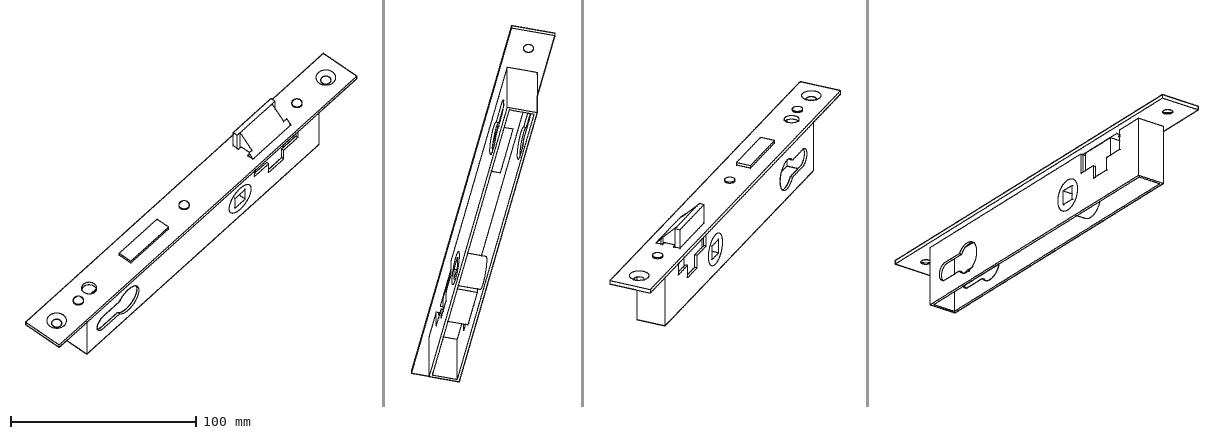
import cadquery as cq


PLATE_LENGTH = 245.0
PLATE_WIDTH = 24.0
PLATE_THICKNESS = 2.2
PLATE_UNDERSIDE = -PLATE_THICKNESS

SCREW_Y = 110.7
SCREW_HOLE_DIAMETER = 5.5
COUNTERSINK_DIAMETER = 10.5

RIVET_DIAMETER = 5.6
RIVET_HEIGHT = 0.7
RIVET_YS = (87.0, -6.0, -92.9)

ADJUSTER_HOLE_DIAMETER = 8.0
ADJUSTER_HOLE_X = -1.5
ADJUSTER_HOLE_Y = -82.3

CASE_LENGTH = 191.0
CASE_WIDTH = 16.7
CASE_DEPTH = 34.5
WALL = 1.5
CAVITY_WIDTH = CASE_WIDTH - 2 * WALL

BOLT_LENGTH = 31.0
LATCH_WIDTH = 14.2
LATCH_HEIGHT = 11.3
LATCH_FLAT = LATCH_WIDTH - LATCH_HEIGHT
LATCH_MIN_Y = 42.6
LATCH_MAX_Y = LATCH_MIN_Y + BOLT_LENGTH
GROOVE_WIDTH = 2 * (LATCH_WIDTH / 2 - LATCH_FLAT)
GROOVE_DEPTH = 2.5
TAB_WIDTH = 6.5
TAB_LENGTH = 2.2
TAIL_WIDTH = CAVITY_WIDTH
TAIL_MIN_Y = 44.8
TAIL_MAX_Y = 67.9

WINDOW_MIN_Y = LATCH_MIN_Y
WINDOW_MAX_Y = 78.2
WINDOW_DEPTH = 11.8
NOTCH_MIN_Y = 54.1
NOTCH_MAX_Y = 66.5
NOTCH_DEPTH = 19.4
TAIL_DEPTH = NOTCH_DEPTH

DEADBOLT_WIDTH = 8.3
DEADBOLT_HEIGHT = 1.5
DEADBOLT_Y = -39.0

SPINDLE_DEPTH = 19.8
SPINDLE_Z = PLATE_UNDERSIDE - SPINDLE_DEPTH
FOLLOWER_Y = 30.6
FOLLOWER_DIAMETER = 18.1
SPINDLE_SQUARE = 8.3
CYLINDER_Y = -61.5
CYLINDER_DIAMETER = 17.6
CYLINDER_SLOT_WIDTH = 10.5
CYLINDER_SLOT_END_Y = -87.0


def block(width, min_y, max_y, bottom, top):
    """Box centred on X = 0 between the given Y and Z limits."""
    return (
        cq.Workplane("XY", origin=(0, (min_y + max_y) / 2, bottom))
        .rect(width, max_y - min_y)
        .extrude(top - bottom)
    )


def cross_cylinder(diameter, y):
    """Cylinder along X at spindle height, as long as the case is wide."""
    return (
        cq.Workplane("YZ", origin=(0, y, SPINDLE_Z))
        .circle(diameter / 2)
        .extrude(CASE_WIDTH / 2, both=True)
    )


def end_strips(width, depth, bottom, top):
    """Two blocks reaching inward from the Y ends of the latch."""
    near_strip = block(width, LATCH_MIN_Y, LATCH_MIN_Y + depth, bottom, top)
    far_strip = block(width, LATCH_MAX_Y - depth, LATCH_MAX_Y, bottom, top)
    return near_strip.union(far_strip)


def latch_opening():
    """Faceplate opening with a guide tab at each end."""
    opening = block(LATCH_WIDTH, LATCH_MIN_Y, LATCH_MAX_Y, PLATE_UNDERSIDE, 0)
    return opening.cut(end_strips(TAB_WIDTH, TAB_LENGTH, PLATE_UNDERSIDE, 0))


def make_faceplate():
    plate = block(PLATE_WIDTH, -PLATE_LENGTH / 2, PLATE_LENGTH / 2, PLATE_UNDERSIDE, 0)
    for y in (-SCREW_Y, SCREW_Y):
        countersink = (
            cq.Workplane("XY", origin=(0, y, PLATE_UNDERSIDE))
            .circle(SCREW_HOLE_DIAMETER / 2)
            .workplane(offset=PLATE_THICKNESS)
            .circle(COUNTERSINK_DIAMETER / 2)
            .loft()
        )
        plate = plate.cut(countersink)
    for y in RIVET_YS:
        rivet = cq.Workplane("XY", origin=(0, y, 0)).circle(RIVET_DIAMETER / 2).extrude(RIVET_HEIGHT)
        plate = plate.union(rivet)
    adjuster_hole = (
        cq.Workplane("XY", origin=(ADJUSTER_HOLE_X, ADJUSTER_HOLE_Y, PLATE_UNDERSIDE))
        .circle(ADJUSTER_HOLE_DIAMETER / 2)
        .extrude(PLATE_THICKNESS)
    )
    return plate.cut(adjuster_hole).cut(latch_opening()).cut(deadbolt_block())


def cylinder_opening():
    """Keyhole shape through both walls: a round bore with a round-ended slot."""
    slot_radius = CYLINDER_SLOT_WIDTH / 2
    slot_center_y = CYLINDER_SLOT_END_Y + slot_radius
    slot = (
        cq.Workplane("YZ", origin=(0, 0, SPINDLE_Z))
        .moveTo(CYLINDER_Y, slot_radius)
        .lineTo(slot_center_y, slot_radius)
        .threePointArc((CYLINDER_SLOT_END_Y, 0), (slot_center_y, -slot_radius))
        .lineTo(CYLINDER_Y, -slot_radius)
        .close()
        .extrude(CASE_WIDTH / 2, both=True)
    )
    return cross_cylinder(CYLINDER_DIAMETER, CYLINDER_Y).union(slot)


def make_case():
    case_bottom = PLATE_UNDERSIDE - CASE_DEPTH
    end_y = CASE_LENGTH / 2
    case = block(CASE_WIDTH, -end_y, end_y, case_bottom, PLATE_UNDERSIDE)
    cavity = block(CAVITY_WIDTH, -end_y + WALL, end_y - WALL, case_bottom, PLATE_UNDERSIDE)
    window_bottom = PLATE_UNDERSIDE - WINDOW_DEPTH
    notch_bottom = PLATE_UNDERSIDE - NOTCH_DEPTH
    window = block(CASE_WIDTH, WINDOW_MIN_Y, WINDOW_MAX_Y, window_bottom, PLATE_UNDERSIDE)
    notch = block(CASE_WIDTH, NOTCH_MIN_Y, NOTCH_MAX_Y, notch_bottom, PLATE_UNDERSIDE)
    case = case.cut(cavity).cut(window).cut(notch)
    return case.cut(cross_cylinder(FOLLOWER_DIAMETER, FOLLOWER_Y)).cut(cylinder_opening())


def make_housing():
    return make_faceplate().union(make_case())


def make_latch():
    """Wedge-shaped head grooved for the guide tabs, with a narrower tail in the case."""
    left = -LATCH_WIDTH / 2
    right = LATCH_WIDTH / 2
    head = (
        cq.Workplane("XZ", origin=(0, LATCH_MAX_Y, 0))
        .polyline([
            (left, PLATE_UNDERSIDE),
            (left, LATCH_HEIGHT),
            (left + LATCH_FLAT, LATCH_HEIGHT),
            (right, 0),
            (right, PLATE_UNDERSIDE),
        ])
        .close()
        .extrude(BOLT_LENGTH)
    )
    grooves = end_strips(GROOVE_WIDTH, GROOVE_DEPTH, PLATE_UNDERSIDE, LATCH_HEIGHT)
    tail_bottom = PLATE_UNDERSIDE - TAIL_DEPTH
    tail = block(TAIL_WIDTH, TAIL_MIN_Y, TAIL_MAX_Y, tail_bottom, PLATE_UNDERSIDE)
    return head.cut(grooves).union(tail)


def deadbolt_block():
    """Retracted deadbolt, filling its slot in the faceplate."""
    half_length = BOLT_LENGTH / 2
    return block(
        DEADBOLT_WIDTH,
        DEADBOLT_Y - half_length,
        DEADBOLT_Y + half_length,
        PLATE_UNDERSIDE,
        DEADBOLT_HEIGHT,
    )


def make_follower():
    """Round hub across the case with a square spindle hole."""
    half_square = SPINDLE_SQUARE / 2
    square_hole = block(
        CASE_WIDTH,
        FOLLOWER_Y - half_square,
        FOLLOWER_Y + half_square,
        SPINDLE_Z - half_square,
        SPINDLE_Z + half_square,
    )
    return cross_cylinder(FOLLOWER_DIAMETER, FOLLOWER_Y).cut(square_hole)


housing = make_housing()
latch = make_latch()
deadbolt = deadbolt_block()
follower = make_follower()

bodies = (housing, latch, deadbolt, follower)
result = cq.Compound.makeCompound([body.solids().val() for body in bodies])